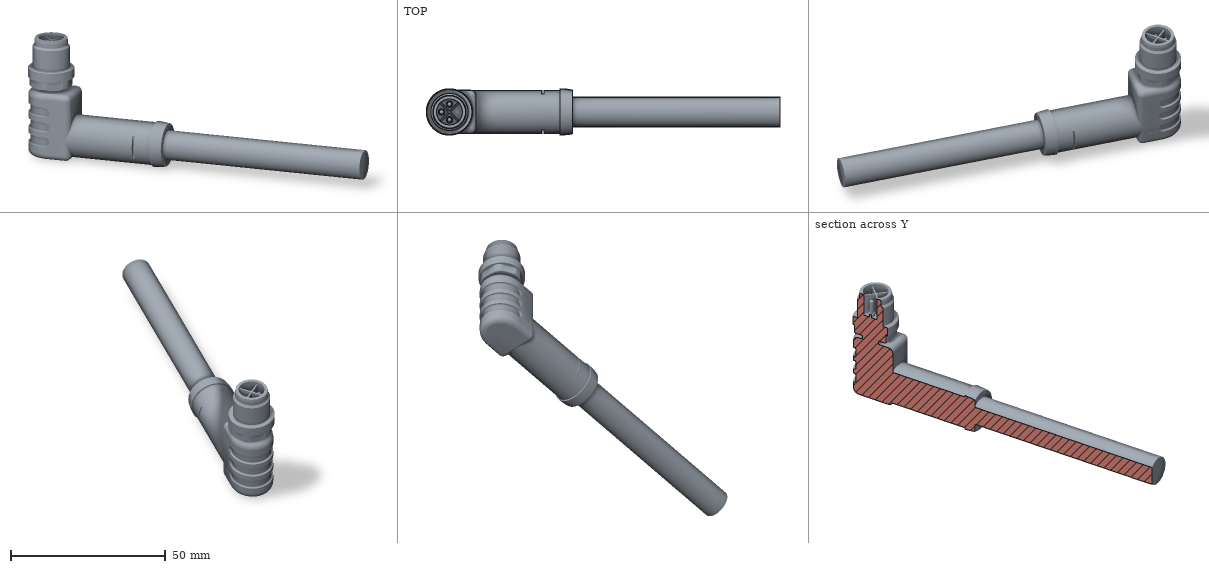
import cadquery as cq
import math


TOTAL_LENGTH = 114.8
TOTAL_HEIGHT = 40.2

HOUSING_BOTTOM = -7.1
HOUSING_TOP = 15.2
HOUSING_LEFT = -7.5
HOUSING_RIGHT = 8.6
HOUSING_FLAT_START = 0.3
HOUSING_WIDTH = 14.1
HOUSING_ROUND = 1.8

GRIP_COUNT = 3
GRIP_PITCH = 5.0
GRIP_MIDDLE_Z = 3.9
GRIP_HEIGHT = 3.2
GRIP_END = 1.7
GRIP_DEPTH = 0.7
GRIP_FLOOR_ROUND = 0.3

LABEL_LEFT = 2.2
LABEL_RIGHT = 5.4
LABEL_BOTTOM = -2.4
LABEL_TOP = 10.2
LABEL_CORNER = 0.3
LABEL_DEPTH = 0.1

SLEEVE_DIAMETER = 14.0
SLEEVE_START = LABEL_RIGHT
RING_DIAMETER = 15.0
RING_MIDDLE_DIAMETER = 14.8
RING_END_DIAMETER = 14.1
RING_START = 35.9
RING_END = 40.0
CABLE_DIAMETER = 9.6
NOTCH_START = 30.0
NOTCH_WIDTH = 0.7
NOTCH_DEPTH = 1.1

PLUG_TOP = TOTAL_HEIGHT - RING_DIAMETER / 2
TIP_DIAMETER = 10.5
TIP_TAPER_HEIGHT = 0.9
SHOULDER_DIAMETER = 10.8
SHOULDER_Z = 30.4
BARREL_DIAMETER = 12.0
BARREL_TOP = 29.7
COLLAR_DIAMETER = RING_DIAMETER
COLLAR_TOP = 22.7
COLLAR_BOTTOM = 19.4
COLLAR_CHAMFER = 0.2
NUT_SIDES = 6
NUT_ACROSS_FLATS = 13.0
NUT_DIAMETER = 14.0
NUT_BOTTOM = 16.3
NUT_CHAMFER = 0.3
NECK_DIAMETER = 9.3

CABLE_END = TOTAL_LENGTH - COLLAR_DIAMETER / 2

SOCKET_DIAMETER = 8.4
SOCKET_DEPTH = 8.0
PIN_DIAMETER = 1.5
PIN_TIP_ROUND = 0.6
PIN_BASE_DIAMETER = 2.1
PIN_BASE_HEIGHT = 1.1
PIN_CIRCLE_RADIUS = 2.5
PIN_ANGLES = (90, 180, 270)
PIN_TOP_DEPTH = 2.1
SHIELD_ANGLES = (45, -45)
SHIELD_THICKNESS = 0.5
SHIELD_TOP_DEPTH = 0.9


def cylinder_z(diameter, bottom, top):
    return cq.Workplane("XY", origin=(0, 0, bottom)).circle(diameter / 2).extrude(top - bottom)


def housing_block(inset):
    """Upright block with a half-elliptic left end; inset shrinks the left end and both sides."""
    side = HOUSING_WIDTH / 2 - inset
    reach = HOUSING_FLAT_START - HOUSING_LEFT - inset
    flat_length = HOUSING_RIGHT - HOUSING_FLAT_START
    base = cq.Workplane("XY", origin=(HOUSING_FLAT_START, 0, HOUSING_BOTTOM))
    return (
        base.moveTo(0, side)
        .ellipseArc(reach, side, 90, 270, startAtCurrent=True)
        .lineTo(flat_length, -side)
        .lineTo(flat_length, side)
        .close()
        .extrude(HOUSING_TOP - HOUSING_BOTTOM)
    )


def grip_cutter(z):
    """Slot open to the left with a round right end, hollowed by the grip floor, floor edges rounded."""
    slot_start = 2 * HOUSING_LEFT
    slot = (
        cq.Workplane("XZ")
        .center((slot_start + GRIP_END) / 2, z)
        .slot2D(GRIP_END - slot_start, GRIP_HEIGHT)
        .extrude(HOUSING_WIDTH, both=True)
    )
    inside_housing = cq.selectors.BoxSelector(
        (HOUSING_LEFT, -HOUSING_WIDTH / 2, HOUSING_BOTTOM),
        (HOUSING_RIGHT, HOUSING_WIDTH / 2, HOUSING_TOP),
    )
    return slot.cut(housing_block(GRIP_DEPTH)).edges(inside_housing).fillet(GRIP_FLOOR_ROUND)


def cut_grips(block):
    for index in range(GRIP_COUNT):
        z = GRIP_MIDDLE_Z + (index - (GRIP_COUNT - 1) / 2) * GRIP_PITCH
        block = block.cut(grip_cutter(z))
    return block


def label_cutters():
    length = LABEL_RIGHT - LABEL_LEFT
    height = LABEL_TOP - LABEL_BOTTOM
    plate = (
        cq.Workplane("XY")
        .box(length, HOUSING_WIDTH, height)
        .edges("|Y")
        .fillet(LABEL_CORNER)
        .translate(((LABEL_LEFT + LABEL_RIGHT) / 2, 0, (LABEL_BOTTOM + LABEL_TOP) / 2))
    )
    offset = HOUSING_WIDTH - LABEL_DEPTH
    return plate.translate((0, offset, 0)).union(plate.translate((0, -offset, 0)))


def housing():
    block = housing_block(0).faces("<Z or >Z or >X").edges().fillet(HOUSING_ROUND)
    return cut_grips(block).cut(label_cutters())


def cable_outlet():
    """Sleeve, tapered end ring and cable turned about X, with a notch on each side of the sleeve."""
    sleeve_radius = SLEEVE_DIAMETER / 2
    turned = (
        cq.Workplane("XY")
        .moveTo(SLEEVE_START, 0)
        .lineTo(SLEEVE_START, sleeve_radius)
        .lineTo(RING_START, sleeve_radius)
        .lineTo(RING_START, RING_DIAMETER / 2)
        .threePointArc(
            ((RING_START + RING_END) / 2, RING_MIDDLE_DIAMETER / 2),
            (RING_END, RING_END_DIAMETER / 2),
        )
        .lineTo(RING_END, CABLE_DIAMETER / 2)
        .lineTo(CABLE_END, CABLE_DIAMETER / 2)
        .lineTo(CABLE_END, 0)
        .close()
        .revolve(360, (0, 0, 0), (1, 0, 0))
    )
    for side in (-1, 1):
        notch = cq.Workplane("XY").box(NOTCH_WIDTH, 2 * NOTCH_DEPTH, SLEEVE_DIAMETER)
        turned = turned.cut(notch.translate((NOTCH_START + NOTCH_WIDTH / 2, side * sleeve_radius, 0)))
    return turned


def plug_shell():
    """Collar, barrel and tip turned about Z, on a round-cornered hexagon nut and a neck."""
    turned = (
        cq.Workplane("XZ")
        .polyline([
            (0, COLLAR_BOTTOM),
            (COLLAR_DIAMETER / 2, COLLAR_BOTTOM),
            (COLLAR_DIAMETER / 2, COLLAR_TOP - COLLAR_CHAMFER),
            (COLLAR_DIAMETER / 2 - COLLAR_CHAMFER, COLLAR_TOP),
            (BARREL_DIAMETER / 2, COLLAR_TOP),
            (BARREL_DIAMETER / 2, BARREL_TOP),
            (SHOULDER_DIAMETER / 2, SHOULDER_Z),
            (SHOULDER_DIAMETER / 2, PLUG_TOP - TIP_TAPER_HEIGHT),
            (TIP_DIAMETER / 2, PLUG_TOP),
            (0, PLUG_TOP),
        ])
        .close()
        .revolve(360, (0, 0, 0), (0, 1, 0))
    )
    nut_envelope = cylinder_z(NUT_DIAMETER, NUT_BOTTOM, COLLAR_BOTTOM)
    nut_envelope = nut_envelope.faces("<Z").chamfer(NUT_CHAMFER)
    nut = (
        cq.Workplane("XY", origin=(0, 0, NUT_BOTTOM))
        .polygon(NUT_SIDES, NUT_ACROSS_FLATS / math.cos(math.pi / NUT_SIDES))
        .extrude(COLLAR_BOTTOM - NUT_BOTTOM)
        .rotate((0, 0, 0), (0, 0, 1), 180 / NUT_SIDES)
        .intersect(nut_envelope)
    )
    neck = cylinder_z(NECK_DIAMETER, 0, NUT_BOTTOM)
    return turned.union(nut).union(neck)


def contact_pin():
    """Pin with a domed tip standing on a wider base."""
    floor = PLUG_TOP - SOCKET_DEPTH
    pin = cylinder_z(PIN_DIAMETER, floor, PLUG_TOP - PIN_TOP_DEPTH)
    pin = pin.faces(">Z").edges().fillet(PIN_TIP_ROUND)
    return pin.union(cylinder_z(PIN_BASE_DIAMETER, floor, floor + PIN_BASE_HEIGHT))


def shield_cross():
    """Two thin crossed plates on the diagonals, reaching the socket wall."""
    height = SOCKET_DEPTH - SHIELD_TOP_DEPTH
    plate = cq.Workplane("XY").box(
        SOCKET_DIAMETER, SHIELD_THICKNESS, height, centered=(True, True, False)
    )
    plate = plate.translate((0, 0, PLUG_TOP - SOCKET_DEPTH))
    first, second = (plate.rotate((0, 0, 0), (0, 0, 1), angle) for angle in SHIELD_ANGLES)
    return first.union(second)


def plug():
    shell = plug_shell().cut(cylinder_z(SOCKET_DIAMETER, PLUG_TOP - SOCKET_DEPTH, PLUG_TOP))
    shell = shell.union(shield_cross())
    pin = contact_pin().translate((PIN_CIRCLE_RADIUS, 0, 0))
    for angle in PIN_ANGLES:
        shell = shell.union(pin.rotate((0, 0, 0), (0, 0, 1), angle))
    return shell


result = housing().union(cable_outlet()).union(plug())